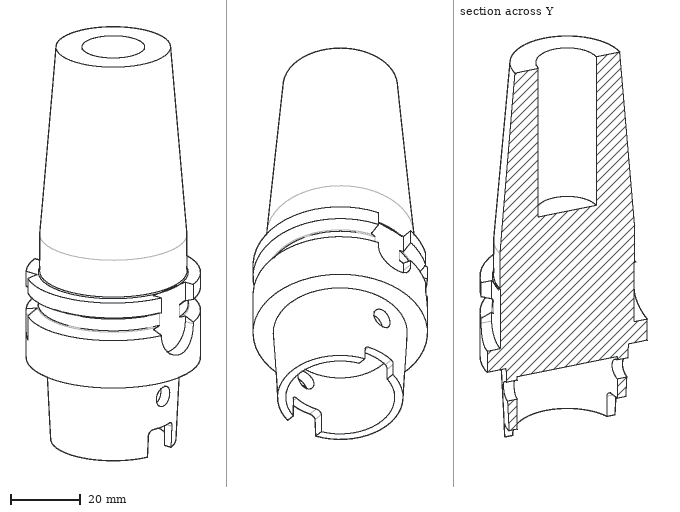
import cadquery as cq

overall_length = 120.0
shank_length = 25.0
nose_top_z = overall_length - shank_length
flange_top_z = 26.0
nose_cylinder_top_z = 37.7

flange_radius = 50.0 / 2
shank_top_radius = 19.2
shank_end_radius = 18.0
nose_radius = 21.1
nose_tip_radius = 16.5

groove_centre_z = 18.0
groove_floor_width = 4.1
groove_mouth_width = 7.0
groove_floor_radius = 21.5

root_fillet = 0.4

bore_radius = 9.0
bore_depth = 48.0
shank_bore_radius = 15.6
shank_bore_depth = 21.6

keyway_floor_x = 21.0
keyway_bottom_z = 7.0
left_keyway_width = 12.0
right_keyway_width = 14.2

notch_wall_offset = 15.5
notch_width = 12.0

drive_slot_width = 10.5
left_drive_slot_depth = 4.7
left_drive_slot_fillet = 1.0
right_drive_slot_depth = 8.2
right_drive_slot_fillet = 1.5
cross_hole_radius = 3.0
cross_hole_z = -7.5


def turned_body():
    half_floor = groove_floor_width / 2
    half_mouth = groove_mouth_width / 2
    profile = [
        (0, -shank_length),
        (shank_end_radius, -shank_length),
        (shank_top_radius, 0),
        (flange_radius, 0),
        (flange_radius, groove_centre_z - half_mouth),
        (groove_floor_radius, groove_centre_z - half_floor),
        (groove_floor_radius, groove_centre_z + half_floor),
        (flange_radius, groove_centre_z + half_mouth),
        (flange_radius, flange_top_z),
        (nose_radius, flange_top_z),
        (nose_radius, nose_cylinder_top_z),
        (nose_tip_radius, nose_top_z),
        (0, nose_top_z),
    ]
    body = cq.Workplane("XZ").polyline(profile).close().revolve(360, (0, 0, 0), (0, 1, 0))
    root_circles = [
        (groove_floor_radius, groove_centre_z - half_floor),
        (groove_floor_radius, groove_centre_z + half_floor),
        (nose_radius, flange_top_z),
    ]
    for radius, z in root_circles:
        reach = radius + root_fillet
        slab = cq.selectors.BoxSelector(
            (-reach, -reach, z - root_fillet), (reach, reach, z + root_fillet), boundingbox=True
        )
        body = body.edges(slab).fillet(root_fillet)
    return body


def vertical_bore(radius, start_z, depth):
    return cq.Workplane("XY", origin=(0, 0, start_z)).circle(radius).extrude(depth)


def round_bottomed_slot(start_x, end_x, centre_y, width):
    """Slot along X, open at the flange top, with a half-round bottom."""
    radius = width / 2
    arc_z = keyway_bottom_z + radius
    return (
        cq.Workplane("YZ", origin=(start_x, 0, 0))
        .moveTo(centre_y - radius, flange_top_z)
        .lineTo(centre_y - radius, arc_z)
        .threePointArc((centre_y, keyway_bottom_z), (centre_y + radius, arc_z))
        .lineTo(centre_y + radius, flange_top_z)
        .close()
        .extrude(end_x - start_x)
    )


def drive_slot(start_x, depth, fillet):
    """Slot in the shank end, from start_x over one flange radius along +X."""
    return (
        cq.Workplane("XY", origin=(start_x, 0, -shank_length))
        .box(flange_radius, drive_slot_width, depth, centered=(False, True, False))
        .edges("|X and >Z")
        .fillet(fillet)
    )


result = turned_body()

result = result.cut(vertical_bore(bore_radius, nose_top_z - bore_depth, bore_depth))
result = result.cut(vertical_bore(shank_bore_radius, -shank_length, shank_bore_depth))

result = result.cut(round_bottomed_slot(-flange_radius, -keyway_floor_x, 0, left_keyway_width))
result = result.cut(round_bottomed_slot(keyway_floor_x, flange_radius, 0, right_keyway_width))
notch_centre_y = -notch_wall_offset - notch_width / 2
result = result.cut(
    round_bottomed_slot(-flange_radius, -notch_wall_offset, notch_centre_y, notch_width)
)

result = result.cut(drive_slot(-flange_radius, left_drive_slot_depth, left_drive_slot_fillet))
result = result.cut(drive_slot(0, right_drive_slot_depth, right_drive_slot_fillet))
cross_hole = (
    cq.Workplane("YZ", origin=(-flange_radius, 0, cross_hole_z))
    .circle(cross_hole_radius)
    .extrude(2 * flange_radius)
)
result = result.cut(cross_hole)